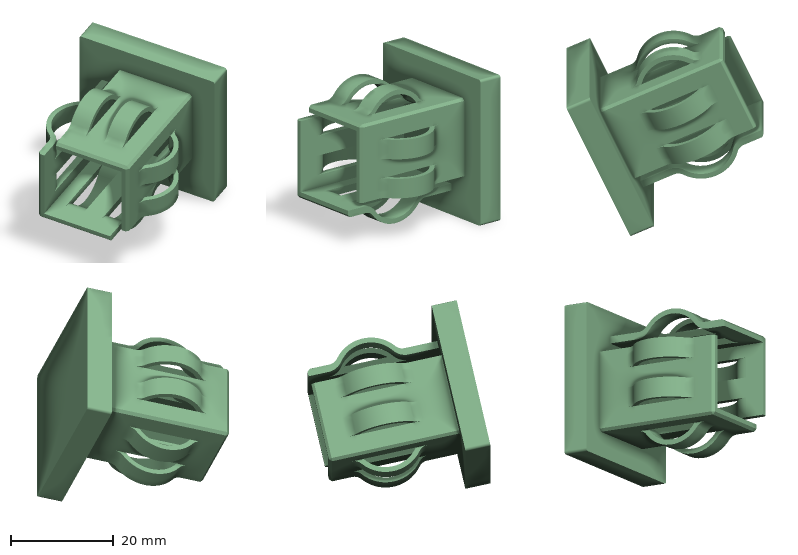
import cadquery as cq
import math


plate_side = 30.0
total_length = 31.0
plate_thickness = 5.0
plate_corner_radius = 0.53

leg_length = total_length - plate_thickness
leg_square = 20.0
leg_thickness = 1.43
leg_chamfer = 0.53
free_edge = 6.0
half_square = leg_square / 2

strap_width = 4.0
strap_inner_side = free_edge - strap_width
strap_center_y = -14.0
strap_outer_reach = 7.5
strap_inner_reach = 8.03
strap_rise = 3.7
strap_thickness = 1.0
strap_outer_radius = 7.35
strap_inner_radius = strap_outer_radius - strap_thickness

arc_center = half_square + strap_rise - strap_outer_radius
inner_face = half_square - leg_thickness


def make_plate():
    plate = cq.Workplane("XY").box(plate_side, plate_thickness, plate_side)
    plate = plate.edges("|Y").fillet(plate_corner_radius)
    return plate.translate((0, plate_thickness / 2, 0))


def make_angle_leg():
    """Plain L-shaped leg with its corner at -X, -Z, chamfered on its outer edges."""
    arm_length = half_square + free_edge
    block = cq.Workplane("XY").box(arm_length, leg_length, arm_length, centered=False)
    corner_edge = block.edges("|Y").edges("<X").edges("<Z")
    tip_edges = block.faces("<Y").edges("<X or <Z")
    block = corner_edge.add(tip_edges).chamfer(leg_chamfer)
    inside = cq.Workplane("XY").box(arm_length, leg_length, arm_length, centered=False)
    inside = inside.translate((leg_thickness, 0, leg_thickness))
    leg = block.cut(inside)
    return leg.translate((-half_square, -leg_length, -half_square))


def make_bulge(start_x, face, reach, arc_radius):
    """Solid bulge toward -Z, standing on a flat face of the lower arm of a leg.

    A crest arc meets the face through two root arcs, tangent at both ends.
    Face is the distance of the flat face from the axis, reach is half the bulge length.
    """
    face_height = face - arc_center
    root_radius = (reach**2 + face_height**2 - arc_radius**2) / (2 * (arc_radius - face_height))
    root_center = face + root_radius
    root_angle = math.acos(reach / (arc_radius + root_radius))
    join_reach = arc_radius * math.cos(root_angle)
    join_height = arc_center + arc_radius * math.sin(root_angle)
    mid_angle = (root_angle + math.pi / 2) / 2
    mid_reach = reach - root_radius * math.cos(mid_angle)
    mid_height = root_center - root_radius * math.sin(mid_angle)

    return (
        cq.Workplane("YZ", origin=(start_x, strap_center_y, 0))
        .moveTo(-reach, -face)
        .threePointArc((-mid_reach, -mid_height), (-join_reach, -join_height))
        .threePointArc((0, -arc_center - arc_radius), (join_reach, -join_height))
        .threePointArc((mid_reach, -mid_height), (reach, -face))
        .close()
        .extrude(strap_width)
    )


def make_spring_leg():
    """L-shaped leg with two hollowed bulges, the spring straps, on each arm."""
    leg = make_angle_leg()
    for start_x in (-free_edge, strap_inner_side):
        bulge = make_bulge(start_x, half_square, strap_outer_reach, strap_outer_radius)
        hollow = make_bulge(start_x, inner_face, strap_inner_reach, strap_inner_radius)
        for arm_angle in (0, 90):
            leg = leg.union(bulge.rotate((0, 0, 0), (0, 1, 0), arm_angle))
            leg = leg.cut(hollow.rotate((0, 0, 0), (0, 1, 0), arm_angle))
    return leg


lower_leg = make_spring_leg()
upper_leg = lower_leg.rotate((0, 0, 0), (0, 1, 0), 180)
result = make_plate().union(lower_leg).union(upper_leg)